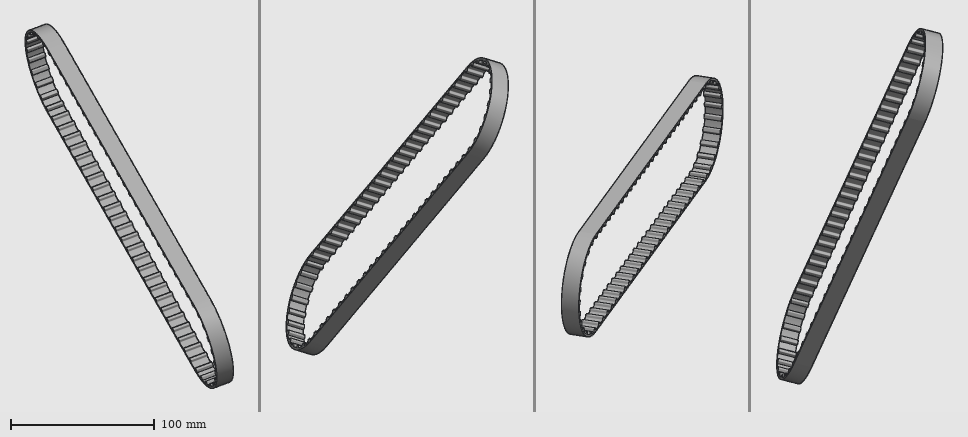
import cadquery as cq
import math

OVERALL_LENGTH = 318.46
BELT_WIDTH = 12.7
OVERALL_HEIGHT = 76.2

BACKING_THICKNESS = 1.66
OUTER_RADIUS = OVERALL_HEIGHT / 2
INNER_RADIUS = OUTER_RADIUS - BACKING_THICKNESS
STRAIGHT_LENGTH = OVERALL_LENGTH - OVERALL_HEIGHT
HALF_STRAIGHT = STRAIGHT_LENGTH / 2

TOOTH_COUNT = 75
TOOTH_PITCH = 9.525
TOOTH_HEIGHT = 1.89
TOOTH_ROOT_WIDTH = 3.94
TOOTH_FLANK_ANGLE = 20.0
TOOTH_ROOT_FILLET = 0.5
TOOTH_TIP_FILLET = 0.45
FIRST_TOOTH_OFFSET = 0.27
FOOT_DEPTH = 0.5

PITCH_LENGTH = TOOTH_COUNT * TOOTH_PITCH
PITCH_ARC_LENGTH = (PITCH_LENGTH - 2 * STRAIGHT_LENGTH) / 2
PITCH_RADIUS = PITCH_ARC_LENGTH / math.pi


def slot(radius):
    """Slot-shaped bar across the belt width, with ends of the given radius."""
    return (
        cq.Workplane("XZ")
        .slot2D(STRAIGHT_LENGTH + 2 * radius, 2 * radius)
        .extrude(BELT_WIDTH / 2, both=True)
    )


def make_tooth():
    """One tooth pointing to +Z, its root at Z = 0 and a foot to sink below it."""
    half_root = TOOTH_ROOT_WIDTH / 2
    half_tip = half_root - TOOTH_HEIGHT * math.tan(math.radians(TOOTH_FLANK_ANGLE))
    half_foot = half_root + TOOTH_ROOT_FILLET
    tooth = (
        cq.Workplane("XZ")
        .moveTo(-half_foot, -FOOT_DEPTH)
        .lineTo(half_foot, -FOOT_DEPTH)
        .lineTo(half_foot, 0)
        .lineTo(half_root, 0)
        .lineTo(half_tip, TOOTH_HEIGHT)
        .lineTo(-half_tip, TOOTH_HEIGHT)
        .lineTo(-half_root, 0)
        .lineTo(-half_foot, 0)
        .close()
        .extrude(BELT_WIDTH / 2, both=True)
    )
    tooth = tooth.edges("|Y").edges(">Z").fillet(TOOTH_TIP_FILLET)
    box_half_width = (half_root + half_foot) / 2
    root_zone = cq.selectors.BoxSelector(
        (-box_half_width, -BELT_WIDTH, -FOOT_DEPTH / 2),
        (box_half_width, BELT_WIDTH, FOOT_DEPTH / 2),
    )
    return tooth.edges("|Y").edges(root_zone).fillet(TOOTH_ROOT_FILLET).val()


def place_on_loop(tooth, distance):
    """Copy the tooth to the inner face, at a distance along the pitch line.

    The distance runs from the middle of the bottom run toward +X and around. The
    tooth turns about a centre on the belt's long axis: 0 degrees on the bottom
    run, 180 on the top run and in between on the round ends.
    """
    right_end_start = HALF_STRAIGHT
    top_run_start = right_end_start + PITCH_ARC_LENGTH
    left_end_start = top_run_start + STRAIGHT_LENGTH
    bottom_run_start = left_end_start + PITCH_ARC_LENGTH
    if distance < right_end_start:
        centre_x = distance
        turn = 0.0
    elif distance < top_run_start:
        centre_x = HALF_STRAIGHT
        turn = math.degrees((distance - right_end_start) / PITCH_RADIUS)
    elif distance < left_end_start:
        centre_x = HALF_STRAIGHT - (distance - top_run_start)
        turn = 180.0
    elif distance < bottom_run_start:
        centre_x = -HALF_STRAIGHT
        turn = 180.0 + math.degrees((distance - left_end_start) / PITCH_RADIUS)
    else:
        centre_x = distance - PITCH_LENGTH
        turn = 0.0
    at_bottom = tooth.translate(cq.Vector(0, 0, -INNER_RADIUS))
    turned = at_bottom.rotate(cq.Vector(0, 0, 0), cq.Vector(0, 1, 0), -turn)
    return turned.translate(cq.Vector(centre_x, 0, 0))


backing = slot(OUTER_RADIUS).cut(slot(INNER_RADIUS)).val()
single_tooth = make_tooth()
teeth = []
for index in range(TOOTH_COUNT):
    distance = FIRST_TOOTH_OFFSET + index * TOOTH_PITCH
    teeth.append(place_on_loop(single_tooth, distance))
belt = backing.fuse(*teeth).clean()
result = cq.Workplane("XY").newObject(belt.Solids())